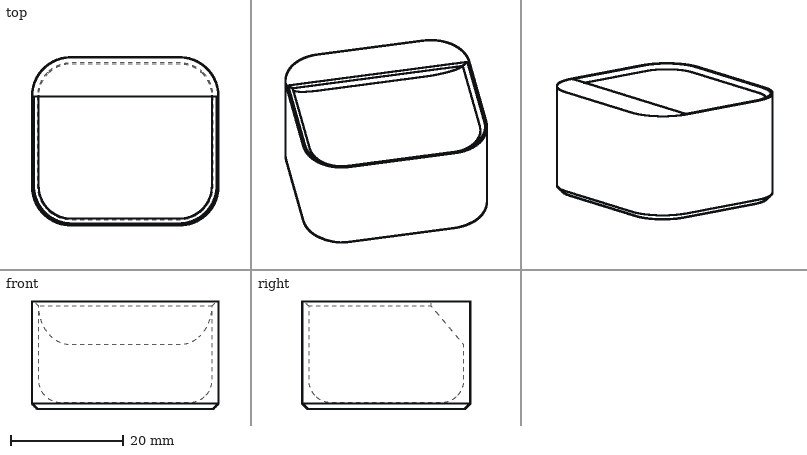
import cadquery as cq

length = 33.25
width = 30.0
height = 19.2
corner_radius = 6.98
base_chamfer = 1.0

wall = 1.2
floor_thickness = 1.15
floor_fillet = 4.0

rim_width = 0.35
flare_angle = 45
rim_depth = wall - rim_width
rim_bottom = height - rim_depth

shelf_width = corner_radius
shelf_slope_drop = 6.88
shelf_front = width / 2 - shelf_width
cavity_back = width / 2 - wall
slope_bottom = rim_bottom - shelf_slope_drop


def rounded_block(inset, bottom, top, taper=0):
    """Rounded block set in from the outer wall; a negative taper widens it upward."""
    outline = (
        cq.Sketch()
        .rect(length - 2 * inset, width - 2 * inset)
        .vertices()
        .fillet(corner_radius - inset)
    )
    return cq.Workplane("XY", origin=(0, 0, bottom)).placeSketch(outline).extrude(top - bottom, taper=taper)


def make_body():
    """Solid rounded block with a chamfered base."""
    return rounded_block(0, 0, height).faces("<Z").chamfer(base_chamfer)


def make_cavity():
    """Open pocket with a rounded floor edge and a flare at the rim."""
    pocket = rounded_block(wall, floor_thickness, height).faces("<Z").edges().fillet(floor_fillet)
    flare = rounded_block(wall, rim_bottom, height, taper=-flare_angle)
    return pocket.union(flare)


def make_shelf():
    """Shelf with a short upright front and an underside sloping down to the back wall."""
    return (
        cq.Workplane("YZ", origin=(-length / 2, 0, 0))
        .moveTo(shelf_front, height)
        .lineTo(shelf_front, rim_bottom)
        .lineTo(cavity_back, slope_bottom)
        .lineTo(width / 2, slope_bottom)
        .lineTo(width / 2, height)
        .close()
        .extrude(length)
    )


result = make_body().cut(make_cavity().cut(make_shelf()))